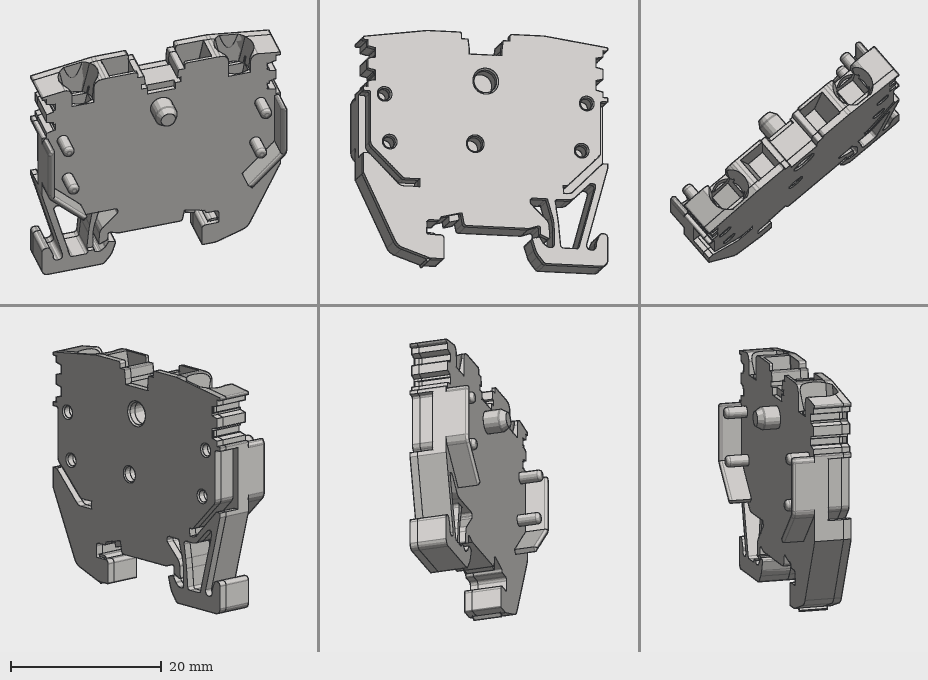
import cadquery as cq
import math


HALF_LENGTH = 16.6
COVER_THICKNESS = 1.05
BLOCK_THICKNESS = 5.08
OVERALL_THICKNESS = 8.1
TOP_Z = 30.88

SLOPE_START_Y = 7.97
SHOULDER_Y = 3.3
SHOULDER_Z = 29.98
CENTRE_NOTCH_Y = 2.22
CENTRE_NOTCH_Z = 27.95
LIP_Z = 28.7
LIP_UNDERCUT = 0.53

TOOTH_Y = 15.97
TOOTH_ROOT_Y = 15.0
TOOTH_ROOTS = [(23.87, 25.15), (26.95, 28.2)]
DEEP_ROOTS = [(23.9, 24.85), (27.22, 28.2)]
DEEP_ROOT_DEPTH = 0.25
DEEP_RAMP_START = 0.15
DEEP_RAMP_END = 0.63

SOCKET_DEPTH = 3.2
BIG_PEG_Z = 24.37
BIG_PEG_RADIUS = 1.53
BIG_PEG_TIP_RADIUS = 1.0
BIG_PEG_TIP_LENGTH = 0.85
BIG_PEG_ROUND = 0.25
BIG_SOCKET_RADIUS = 1.53
BIG_SOCKET_MOUTH_RADIUS = 1.75
CENTRE_SOCKET = (1.43, 15.8)
CENTRE_SOCKET_RADIUS = 1.03
CENTRE_SOCKET_MOUTH_RADIUS = 1.2
SMALL_PEG_PLACES = [(13.75, 21.98), (13.05, 15.55)]
SMALL_PEG_RADIUS = 0.75
SMALL_PEG_ROUND = 0.45
SMALL_SOCKET_RADIUS = 0.8
SMALL_SOCKET_MOUTH_RADIUS = 1.0
PEG_RELIEF_HALF_WIDTH = 1.93
FAR_FACE_INSET = 0.63
PEG_RELIEF_DEPTH = 1.0

RIB_OUTER_ROUND = 0.33

WELL_Y = 10.9
WELL_CENTRE_X = 2.72
WELL_RADIUS = 2.72
WELL_BOTTOM_RADIUS = 2.0
WELL_DEPTH = 4.65
WELL_WALL_X = 0.4
WELL_MOUTH_HALF_WIDTH = 2.52
WELL_MOUTH_ROUND = 1.0
WELL_MOUTH_DEPTH = 3.6
TERMINAL_START_X = 1.53
TERMINAL_END_X = 4.4
TERMINAL_HALF_LENGTH = 1.93
TERMINAL_FLOOR_HALF_LENGTH = 1.35
TERMINAL_SHALLOW_DEPTH = 6.3
TERMINAL_FULL_DEPTH = 7.3

POCKET_START_X = 1.0
POCKET_END_X = 4.65
POCKET_OUTER_Y = 7.15
POCKET_FLOOR_Y = 5.78
POCKET_DEPTH = 6.65

FOOT_START_X = 0.55
FOOT_END_X = 4.45


def mirrored(corners):
    """Corners reflected in the middle plane, in reverse order."""
    return [(-y, z, radius) for y, z, radius in reversed(corners)]


def tangent_points(before, corner, after):
    """Start, middle and end of the arc that rounds one corner."""
    y, z, radius = corner
    back = cq.Vector(before[0] - y, before[1] - z, 0).normalized()
    ahead = cq.Vector(after[0] - y, after[1] - z, 0).normalized()
    half_angle = back.getAngle(ahead) / 2
    setback = radius / math.tan(half_angle)
    to_arc = radius / math.sin(half_angle) - radius
    tip = cq.Vector(y, z, 0)
    places = (tip + back * setback, tip + (back + ahead).normalized() * to_arc, tip + ahead * setback)
    return [(place.x, place.y) for place in places]


def plate(corners, start_x, end_x):
    """Extrude a closed (Y, Z, corner radius) outline between two X positions."""
    sketch = cq.Workplane("YZ", origin=(start_x, 0, 0))
    for index, corner in enumerate(corners):
        before = corners[index - 1]
        after = corners[(index + 1) % len(corners)]
        if corner[2] > 0:
            arc_start, arc_middle, arc_end = tangent_points(before, corner, after)
        else:
            arc_start = corner[:2]
        sketch = sketch.moveTo(*arc_start) if index == 0 else sketch.lineTo(*arc_start)
        if corner[2] > 0:
            sketch = sketch.threePointArc(arc_middle, arc_end)
    return sketch.close().extrude(end_x - start_x)


def box(start, end):
    size = [b - a for a, b in zip(start, end)]
    return cq.Workplane("XY", origin=start).box(*size, centered=False)


def both_sides(shape):
    """A shape together with its reflection in the middle plane."""
    return shape.union(shape.mirror("XZ"))


def turned(y, z, profile):
    """Revolve an (X, radius) profile about the X-parallel axis through (y, z)."""
    points = [(profile[0][0], 0)] + profile + [(profile[-1][0], 0)]
    return cq.Workplane("XY", origin=(0, y, z)).polyline(points).close().revolve(360, (0, 0), (1, 0))


def top_half():
    """Corners of the +Y end from its lowest tooth gap up to the central notch."""
    low_gap, high_gap = TOOTH_ROOTS
    flank = 0.23
    return [
        (HALF_LENGTH, 22.9, 0.13),
        (TOOTH_Y, 22.9, 0),
        (TOOTH_Y, low_gap[0] - flank, 0),
        (TOOTH_ROOT_Y, low_gap[0], 0),
        (TOOTH_ROOT_Y, low_gap[1], 0),
        (TOOTH_Y, low_gap[1] + flank, 0),
        (TOOTH_Y, high_gap[0] - flank, 0),
        (TOOTH_ROOT_Y, high_gap[0], 0),
        (TOOTH_ROOT_Y, high_gap[1], 0),
        (TOOTH_Y, high_gap[1] + flank, 0),
        (TOOTH_Y, 29.25, 0),
        (HALF_LENGTH, 29.25, 0.15),
        (HALF_LENGTH, 29.68, 0.15),
        (SLOPE_START_Y, TOP_Z, 3.65),
        (SHOULDER_Y, TOP_Z, 0.3),
        (SHOULDER_Y, SHOULDER_Z, 0),
        (CENTRE_NOTCH_Y + 0.15, SHOULDER_Z, 0.13),
        (CENTRE_NOTCH_Y, LIP_Z, 0),
        (CENTRE_NOTCH_Y, CENTRE_NOTCH_Z, 0),
    ]


def spring_latch():
    """Corners of the springy rail latch at the -Y end, from its leg to the rail seat."""
    return [
        (-16.6, 13.28, 0),
        (-13.55, 2.12, 0.6),
        (-15.05, 2.12, 0.6),
        (-15.05, 3.1, 0.65),
        (-15.57, 4.4, 0.45),
        (-16.6, 4.4, 0.53),
        (-16.6, 0, 0.8),
        (-8.05, 0, 0.5),
        (-6.9, 1.43, 2.65),
        (-6.3, 3.35, 0.15),
        (-7.35, 3.55, 0.13),
        (-7.8, 2.75, 0.33),
        (-8.5, 2.22, 0.33),
        (-9.33, 2.22, 0.4),
        (-9.33, 5.58, 6.65),
        (-8.4, 8.8, 0.25),
        (-6.1, 8.8, 0.4),
        (-6.05, 8.1, 0.33),
        (-8.55, 5.65, 1.33),
        (-8.73, 3.35, 0.13),
        (-7.45, 3.92, 0),
        (-7.45, 5.15, 0.25),
        (-5.9, 4.65, 0),
    ]


def rail_hook():
    """Corners of the fixed rail hook at the +Y end, from the rail seat to the sloped flank."""
    return [
        (2.9, 4.65, 0.43),
        (3.22, 6.37, 0.2),
        (6.0, 5.68, 0.1),
        (6.25, 5.2, 0.2),
        (8.0, 5.2, 0.45),
        (8.0, 3.22, 0.25),
        (5.65, 3.22, 0.5),
        (5.65, 0, 0.13),
        (7.57, 0, 0),
        (12.0, 1.5, 1.83),
        (16.6, 11.2, 0),
    ]


def latch_window():
    """Opening between the two legs of the spring latch."""
    corners = [
        (-9.4, 8.8, 0.4),
        (-11.8, 8.8, 1.5),
        (-14.35, 11.25, 0.53),
        (-15.05, 10.95, 0.4),
        (-12.65, 2.22, 0.4),
        (-10.23, 2.22, 0.4),
        (-9.9, 5.75, 19.92),
    ]
    return plate(corners, 0, BLOCK_THICKNESS)


def rib_grooves():
    """Bent grooves on the -X face; the +Y one has the longer foot."""
    grooves = cq.Workplane("YZ")
    for side, end_top_y, end_bottom_y in ((1, 8.95, 8.95), (-1, 10.52, 10.62)):
        corners = [
            (16.6, 22.35, 0),
            (15.65, 22.35, 0.25),
            (15.65, 15.07, 1.0),
            (11.12, 10.7, 0.5),
            (end_top_y, 10.7, 0),
            (end_bottom_y, 9.63, 0),
            (11.6, 9.63, 1.15),
            (15.87, 13.9, 0),
            (16.6, 13.9, 0),
        ]
        groove = plate([(side * y, z, radius) for y, z, radius in corners], 0, SOCKET_DEPTH)
        grooves = grooves.add(groove)
    return grooves.combine()


def socket(y, z, radius, mouth_radius):
    """Blind hole in the -X face with a countersunk mouth."""
    chamfer = mouth_radius - radius
    return turned(y, z, [(0, mouth_radius), (chamfer, radius), (SOCKET_DEPTH, radius)])


def deep_tooth_gaps():
    """Deeper part of each tooth gap, ramping in behind the -X face."""
    cutter = cq.Workplane("XY")
    for low_z, high_z in DEEP_ROOTS:
        points = [
            (DEEP_RAMP_START, TOOTH_ROOT_Y),
            (DEEP_RAMP_END, TOOTH_ROOT_Y - DEEP_ROOT_DEPTH),
            (BLOCK_THICKNESS, TOOTH_ROOT_Y - DEEP_ROOT_DEPTH),
            (BLOCK_THICKNESS, TOOTH_ROOT_Y),
        ]
        gap = cq.Workplane("XY", origin=(0, 0, low_z)).polyline(points).close().extrude(high_z - low_z)
        cutter = cutter.add(gap)
    return both_sides(cutter.combine())


def well_mouth(side):
    """Slot that opens a well through the +X face, with rounded top edges."""
    slot_half_width = WELL_MOUTH_HALF_WIDTH - WELL_MOUTH_ROUND
    inner_y, outer_y = WELL_Y - slot_half_width, WELL_Y + slot_half_width
    slope = (TOP_Z - 29.68) / (HALF_LENGTH - SLOPE_START_Y)
    inner_z = TOP_Z - slope * (inner_y - WELL_MOUTH_ROUND - SLOPE_START_Y)
    outer_z = TOP_Z - slope * (outer_y + WELL_MOUTH_ROUND - SLOPE_START_Y)
    bend = WELL_MOUTH_ROUND * (1 - math.sqrt(0.5))
    floor_z = TOP_Z - WELL_MOUTH_DEPTH
    cutter = (
        cq.Workplane("YZ", origin=(WELL_CENTRE_X, 0, 0))
        .moveTo(inner_y - WELL_MOUTH_ROUND, inner_z)
        .threePointArc((inner_y - bend, inner_z - bend), (inner_y, inner_z - WELL_MOUTH_ROUND))
        .lineTo(inner_y, floor_z)
        .lineTo(outer_y, floor_z)
        .lineTo(outer_y, outer_z - WELL_MOUTH_ROUND)
        .threePointArc((outer_y + bend, outer_z - bend), (outer_y + WELL_MOUTH_ROUND, outer_z))
        .lineTo(outer_y + WELL_MOUTH_ROUND, TOP_Z)
        .lineTo(inner_y - WELL_MOUTH_ROUND, TOP_Z)
        .close()
        .extrude(BLOCK_THICKNESS - WELL_CENTRE_X)
    )
    return cutter if side > 0 else cutter.mirror("XZ")


def screw_well(side):
    """Tapered round well that ends in a terminal chamber with a sloped floor."""
    centre_y = side * WELL_Y
    funnel = cq.Workplane(
        cq.Solid.makeCone(
            WELL_BOTTOM_RADIUS,
            WELL_RADIUS,
            WELL_DEPTH,
            cq.Vector(WELL_CENTRE_X, centre_y, TOP_Z - WELL_DEPTH),
        )
    )
    limits = box((WELL_WALL_X, centre_y - WELL_RADIUS, 0), (BLOCK_THICKNESS, centre_y + WELL_RADIUS, TOP_Z))
    chamber_top = TOP_Z - WELL_MOUTH_DEPTH
    corners = [
        (side * (WELL_Y - TERMINAL_HALF_LENGTH), chamber_top, 0),
        (side * (WELL_Y + TERMINAL_HALF_LENGTH), chamber_top, 0),
        (side * (WELL_Y + TERMINAL_FLOOR_HALF_LENGTH), TOP_Z - TERMINAL_FULL_DEPTH, 0),
        (side * (WELL_Y - TERMINAL_FLOOR_HALF_LENGTH), TOP_Z - TERMINAL_SHALLOW_DEPTH, 0),
    ]
    chamber = plate(corners, TERMINAL_START_X, TERMINAL_END_X)
    return funnel.intersect(limits).union(chamber).union(well_mouth(side))


def test_pockets():
    """Rectangular pockets whose outer walls slope in towards the floor."""
    floor_z = TOP_Z - POCKET_DEPTH
    corners = [
        (SHOULDER_Y, TOP_Z, 0),
        (POCKET_OUTER_Y, TOP_Z, 0),
        (POCKET_FLOOR_Y, floor_z, 0),
        (SHOULDER_Y, floor_z, 0),
    ]
    return both_sides(plate(corners, POCKET_START_X, POCKET_END_X))


def peg_relief():
    """Shallow recess in the floor of the central notch, above the big peg."""
    return box(
        (BLOCK_THICKNESS - FAR_FACE_INSET, -PEG_RELIEF_HALF_WIDTH, CENTRE_NOTCH_Z - PEG_RELIEF_DEPTH),
        (BLOCK_THICKNESS, PEG_RELIEF_HALF_WIDTH, CENTRE_NOTCH_Z),
    )


def lip_undercuts():
    """Grooves in the housing under the lips of the central notch."""
    undercut = box(
        (COVER_THICKNESS, CENTRE_NOTCH_Y, CENTRE_NOTCH_Z),
        (BLOCK_THICKNESS, CENTRE_NOTCH_Y + LIP_UNDERCUT, LIP_Z),
    )
    return both_sides(undercut)


def inner_leg_relief():
    """Setback of the inner latch leg from the +X face."""
    corners = [
        (-10.62, 2.65, 0),
        (-10.62, 8.8, 0),
        (-7.97, 8.8, 0),
        (-9.03, 5.98, 0),
        (-9.03, 2.65, 0),
    ]
    return plate(corners, BLOCK_THICKNESS - FAR_FACE_INSET, BLOCK_THICKNESS)


def big_peg():
    taper_x = OVERALL_THICKNESS - BIG_PEG_TIP_LENGTH
    profile = [
        (BLOCK_THICKNESS, BIG_PEG_RADIUS),
        (taper_x, BIG_PEG_RADIUS),
        (OVERALL_THICKNESS, BIG_PEG_TIP_RADIUS),
    ]
    peg = turned(0, BIG_PEG_Z, profile)
    return peg.faces("%CYLINDER").edges(">X").fillet(BIG_PEG_ROUND)


def small_peg(y, z):
    peg = cq.Workplane("YZ", origin=(BLOCK_THICKNESS, y, z)).circle(SMALL_PEG_RADIUS)
    return peg.extrude(OVERALL_THICKNESS - BLOCK_THICKNESS).faces(">X").edges().fillet(SMALL_PEG_ROUND)


def rib():
    """Bent rib at the +Y end, rounded along its free edge."""
    corners = [
        (16.6, 22.1, 0.4),
        (16.25, 22.8, 0.25),
        (15.75, 22.58, 0.13),
        (15.75, 15.05, 0),
        (11.22, 10.62, 0),
        (11.72, 10.13, 0),
        (16.6, 14.87, 1.53),
    ]
    solid = plate(corners, BLOCK_THICKNESS, OVERALL_THICKNESS)
    return solid.faces(">X").edges().fillet(RIB_OUTER_ROUND)


def block():
    """Housing and cover as one shape, before the split and the foot cavity."""
    upper = top_half()
    solid = plate(upper + mirrored(upper) + spring_latch() + rail_hook(), 0, BLOCK_THICKNESS)
    solid = solid.cut(latch_window()).cut(rib_grooves()).cut(deep_tooth_gaps())
    solid = solid.cut(test_pockets()).cut(peg_relief()).cut(lip_undercuts()).cut(inner_leg_relief())
    solid = solid.cut(socket(0, BIG_PEG_Z, BIG_SOCKET_RADIUS, BIG_SOCKET_MOUTH_RADIUS))
    solid = solid.cut(socket(*CENTRE_SOCKET, CENTRE_SOCKET_RADIUS, CENTRE_SOCKET_MOUTH_RADIUS))
    for side in (1, -1):
        solid = solid.cut(screw_well(side))
        for y, z in SMALL_PEG_PLACES:
            solid = solid.cut(socket(side * y, z, SMALL_SOCKET_RADIUS, SMALL_SOCKET_MOUTH_RADIUS))
    return solid


def make_foot():
    """Metal rail foot: a strip that winds through the hook and ends in a contact tab."""
    corners = [
        (8.0, -0.2, 0),
        (7.0, 0.85, 0),
        (7.0, 3.22, 0.15),
        (8.8, 3.22, 0.5),
        (8.8, 7.0, 0.5),
        (3.6, 7.0, 0),
        (3.6, 6.2, 0),
        (3.5, 5.45, 0.13),
        (4.8, 5.1, 0),
        (4.9, 5.88, 0),
        (4.9, 6.67, 0),
        (8.45, 6.67, 0.15),
        (8.45, 3.55, 0.15),
        (6.55, 3.55, 0.63),
        (6.67, 0.73, 0),
        (7.77, -0.43, 0),
    ]
    return plate(corners, FOOT_START_X, FOOT_END_X)


def make_cover(solid, foot):
    slab = box((0, -HALF_LENGTH, 0), (COVER_THICKNESS, HALF_LENGTH, TOP_Z))
    return solid.intersect(slab).cut(foot)


def make_housing(solid, foot):
    slab = box((COVER_THICKNESS, -HALF_LENGTH, 0), (BLOCK_THICKNESS, HALF_LENGTH, TOP_Z))
    housing = solid.intersect(slab).cut(foot).union(big_peg()).union(both_sides(rib()))
    for side in (1, -1):
        for y, z in SMALL_PEG_PLACES:
            housing = housing.union(small_peg(side * y, z))
    return housing


whole_block = block()
rail_foot = make_foot()
cover = make_cover(whole_block, rail_foot)
housing = make_housing(whole_block, rail_foot)
result = cq.Compound.makeCompound([cover.val(), housing.val(), rail_foot.val()])